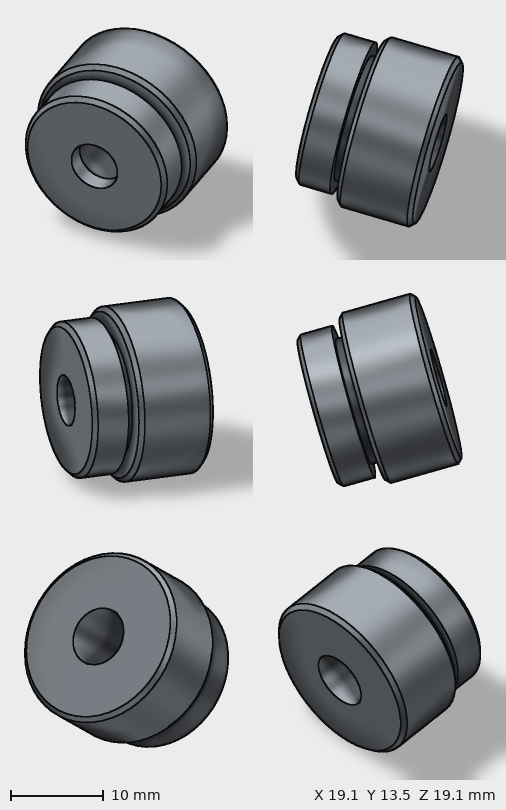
import cadquery as cq

head_diameter = 19.05
flange_diameter = 17.0
groove_diameter = 14.0
bore_diameter = 5.5
rear_bore_diameter = 6.35
lip_length = 2.0
total_length = 13.5
flange_length = 4.0
groove_width = 1.0
edge_chamfer = 0.5

head_length = total_length - flange_length - groove_width


def disc(diameter, start, length):
    """Solid disc about the Y axis, from start towards +Y."""
    plane = cq.Workplane("XZ", origin=(0, start, 0))
    return plane.circle(diameter / 2).extrude(-length)


flange = disc(flange_diameter, 0, flange_length).faces("<Y").edges().chamfer(edge_chamfer)

neck = disc(groove_diameter, flange_length, groove_width)

head = disc(head_diameter, flange_length + groove_width, head_length).edges("%CIRCLE").chamfer(edge_chamfer)

bore = disc(bore_diameter, 0, total_length)
rear_bore = disc(rear_bore_diameter, lip_length, total_length - lip_length)

result = flange.union(neck).union(head).cut(bore).cut(rear_bore)